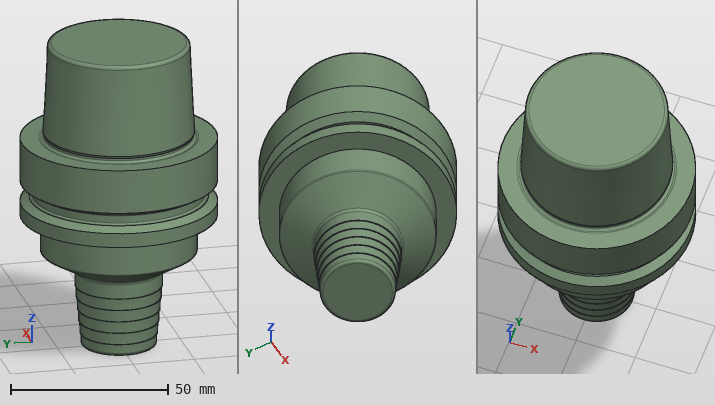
import cadquery as cq
import math


shank_length = 32.0
shank_top_radius = 22.72
taper_slope = 0.05
shank_top_fillet = 1.2
taper_end_z = 2.15
relief_radius = 23.85
relief_cone_end_z = 1.35

undercut_fillet = 0.8
undercut_start_z = 0.65
undercut_angle = math.radians(12)

flange_radius = 31.5
flange_height = 26.0
groove_floor_radius = 27.6
groove_center_z = -17.87
groove_mouth_width = 6.9
groove_floor_width = 3.6
groove_angle = math.radians(30)
groove_fillet = 0.6

collar_radius = 25.0
collar_end_z = -38.0
collar_cone_angle = math.radians(30)
collar_fillet = 0.5
nose_root_fillet = 1.2

nose_root_radius = 13.95
step_count = 5
step_pitch = 4.0
step_depth = 0.23
first_step_z = -49.9
nose_end_z = first_step_z - step_count * step_pitch
ring_slope = 0.04
nose_end_fillet = 1.0


def shank_points():
    """Outline points (radius, z) of the taper and its relief, going down."""
    taper_end_radius = shank_top_radius + taper_slope * (shank_length - taper_end_z)
    return [
        (shank_top_radius, shank_length),
        (taper_end_radius, taper_end_z),
        (relief_radius, relief_cone_end_z),
        (relief_radius, undercut_start_z),
    ]


def undercut_arc_point(angle):
    """Point on the undercut fillet, swept by angle from the shank wall."""
    center_radius = relief_radius + undercut_fillet
    return (
        center_radius - undercut_fillet * math.cos(angle),
        undercut_start_z - undercut_fillet * math.sin(angle),
    )


def flange_points():
    """Outline points of the flange, from the undercut lip to the collar."""
    arc_end_radius, arc_end_z = undercut_arc_point(math.pi / 2 + undercut_angle)
    lip_radius = arc_end_radius - arc_end_z / math.tan(undercut_angle)
    mouth_top_z = groove_center_z + groove_mouth_width / 2
    mouth_bottom_z = groove_center_z - groove_mouth_width / 2
    floor_top_z = groove_center_z + groove_floor_width / 2
    floor_bottom_z = groove_center_z - groove_floor_width / 2
    flare_depth = (groove_mouth_width - groove_floor_width) / 2 / math.tan(groove_angle)
    flare_radius = flange_radius - flare_depth
    return [
        (lip_radius, 0),
        (flange_radius, 0),
        (flange_radius, mouth_top_z),
        (flare_radius, floor_top_z),
        (groove_floor_radius, floor_top_z),
        (groove_floor_radius, floor_bottom_z),
        (flare_radius, floor_bottom_z),
        (flange_radius, mouth_bottom_z),
        (flange_radius, -flange_height),
        (collar_radius, -flange_height),
    ]


def nose_points():
    """Outline points of the collar, the cone and the stepped nose."""
    cone_drop = (collar_radius - nose_root_radius) * math.tan(collar_cone_angle)
    points = [
        (collar_radius, collar_end_z),
        (nose_root_radius, collar_end_z - cone_drop),
        (nose_root_radius, first_step_z),
    ]
    radius = nose_root_radius
    for step in range(step_count):
        radius -= step_depth
        ring_top_z = first_step_z - step * step_pitch
        ring_bottom_z = ring_top_z - step_pitch
        points.append((radius, ring_top_z))
        radius -= ring_slope * (ring_top_z - ring_bottom_z)
        points.append((radius, ring_bottom_z))
    return points


def turned_body():
    profile = cq.Workplane("XZ").moveTo(0, shank_length)
    for point in shank_points():
        profile = profile.lineTo(*point)
    arc_sweep = math.pi / 2 + undercut_angle
    profile = profile.threePointArc(
        undercut_arc_point(arc_sweep / 2),
        undercut_arc_point(arc_sweep),
    )
    for point in flange_points() + nose_points():
        profile = profile.lineTo(*point)
    profile = profile.lineTo(0, nose_end_z).close()
    return profile.revolve(360, (0, 0, 0), (0, 1, 0))


def fillet_circle(body, z, radius, fillet):
    """Round the circular edge that lies at height z and the given radius."""
    margin = 0.05
    reach = radius + margin
    box = cq.selectors.BoxSelector(
        (-reach, -reach, z - margin),
        (reach, reach, z + margin),
        boundingbox=True,
    )
    return body.edges(box).edges("%CIRCLE").fillet(fillet)


body = turned_body()
body = fillet_circle(body, shank_length, shank_top_radius, shank_top_fillet)
for side in (1, -1):
    groove_corner_z = groove_center_z + side * groove_floor_width / 2
    body = fillet_circle(body, groove_corner_z, groove_floor_radius, groove_fillet)
nose = nose_points()
nose_root_z = nose[1][1]
nose_end_radius = nose[-1][0]
body = fillet_circle(body, collar_end_z, collar_radius, collar_fillet)
body = fillet_circle(body, nose_root_z, nose_root_radius, nose_root_fillet)
result = fillet_circle(body, nose_end_z, nose_end_radius, nose_end_fillet)